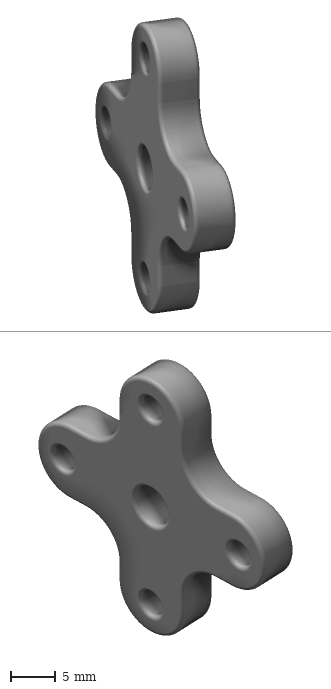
import cadquery as cq

span = 35.0
thickness = 5.0
arm_width = 10.0
inner_corner_radius = 5.0
edge_radius = 0.5

center_hole_diameter = 5.0
arm_hole_diameter = 3.2
arm_hole_offset = 13.5

front_y = -thickness / 2
back_y = thickness / 2


def arm_pair(length_x, length_z):
    """Two opposite arms as one bar, before its ends are rounded."""
    return cq.Workplane("XY").box(length_x, thickness, length_z)


def cross_plate():
    """Four round-ended arms blended by concave inner corners."""
    end_radius = arm_width / 2
    straight_length = span - 2 * end_radius
    plate = arm_pair(straight_length, arm_width).union(arm_pair(arm_width, straight_length))
    corner_reach = arm_width / 2 + edge_radius
    inner_corners = cq.selectors.BoxSelector(
        (-corner_reach, front_y, -corner_reach),
        (corner_reach, back_y, corner_reach),
    )
    plate = plate.edges("|Y").edges(inner_corners).fillet(inner_corner_radius)
    arm_ends = (
        cq.Workplane("XZ", origin=(0, back_y, 0))
        .polarArray(straight_length / 2, 0, 360, 4)
        .circle(end_radius)
        .extrude(thickness)
    )
    return plate.union(arm_ends)


def holes():
    """Cutters for the centre hole and one hole near the end of each arm."""
    back_plane = cq.Workplane("XZ", origin=(0, back_y, 0))
    center_hole = back_plane.circle(center_hole_diameter / 2).extrude(thickness)
    arm_holes = (
        back_plane.polarArray(arm_hole_offset, 0, 360, 4)
        .circle(arm_hole_diameter / 2)
        .extrude(thickness)
    )
    return center_hole.union(arm_holes)


plate_with_holes = cross_plate().cut(holes())
result = plate_with_holes.faces("<Y or >Y").edges().fillet(edge_radius)